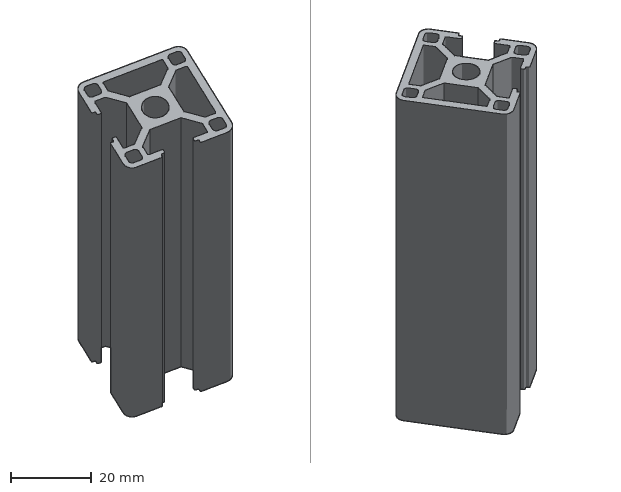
import cadquery as cq

side = 30.0
length = 100.0
outer_corner_radius = 2.5
half_side = side / 2

core_half = 5.8
bore_diameter = 6.8
web_offset = 1.5

wall_thickness = 2.2
cavity_width = 16.5
cavity_half_width = cavity_width / 2
cavity_corner_radius = 0.3
cavity_outer_face = half_side - wall_thickness

channel_wall = 1.5
channel_size = 3.7
channel_corner_radius = 1.0
channel_center = cavity_half_width + channel_wall + channel_size / 2

slot_width = 8.2
step_width = 10.4
step_depth = 1.0
lip_corner_radius = 0.3
selection_margin = 0.1

bottom = -length / 2

FRONT, RIGHT, BACK, LEFT = 0, 90, 180, 270

def make_body():
    """Solid bar with rounded long edges."""
    return cq.Workplane("XY").box(side, side, length).edges("|Z").fillet(outer_corner_radius)

def make_cavity():
    """Through cavity on the -Y side: a rectangle tapering along the webs to the core."""
    core_flat_half = core_half - web_offset
    web_end = cavity_half_width + web_offset
    outline = [
        (-core_flat_half, -core_half),
        (-cavity_half_width, -web_end),
        (-cavity_half_width, -cavity_outer_face),
        (cavity_half_width, -cavity_outer_face),
        (cavity_half_width, -web_end),
        (core_flat_half, -core_half),
    ]
    cavity = cq.Workplane("XY", origin=(0, 0, bottom)).polyline(outline).close().extrude(length)
    return cavity.edges("|Z and (<X or >X)").fillet(cavity_corner_radius)

def open_cavity(body, angle):
    """Cut a stepped mouth into the cavity at this angle and round every edge of its lips."""
    slot_half = slot_width / 2
    step_half = step_width / 2
    step_face = half_side - step_depth
    outline = [
        (-step_half, -half_side),
        (-step_half, -step_face),
        (-slot_half, -step_face),
        (-slot_half, -cavity_outer_face),
        (slot_half, -cavity_outer_face),
        (slot_half, -step_face),
        (step_half, -step_face),
        (step_half, -half_side),
    ]
    mouth = cq.Workplane("XY", origin=(0, 0, bottom)).polyline(outline).close().extrude(length)
    lip_edges = cq.selectors.BoxSelector(
        (-step_half - selection_margin, -half_side - selection_margin, bottom),
        (step_half + selection_margin, -cavity_outer_face + selection_margin, -bottom),
    )
    facing_front = body.rotate((0, 0, 0), (0, 0, 1), -angle)
    opened = facing_front.cut(mouth).edges("|Z").edges(lip_edges).fillet(lip_corner_radius)
    return opened.rotate((0, 0, 0), (0, 0, 1), angle)

def make_corner_channels():
    """Four rounded square channels running the full length."""
    channel_spacing = 2 * channel_center
    return (
        cq.Workplane("XY", origin=(0, 0, bottom))
        .rarray(channel_spacing, channel_spacing, 2, 2)
        .rect(channel_size, channel_size)
        .extrude(length)
        .edges("|Z")
        .fillet(channel_corner_radius)
    )

profile = make_body()
for angle in (FRONT, RIGHT, BACK, LEFT):
    profile = profile.cut(make_cavity().rotate((0, 0, 0), (0, 0, 1), angle))
for angle in (FRONT, RIGHT):
    profile = open_cavity(profile, angle)
profile = profile.cut(make_corner_channels())

result = profile.faces(">Z").workplane().hole(bore_diameter)